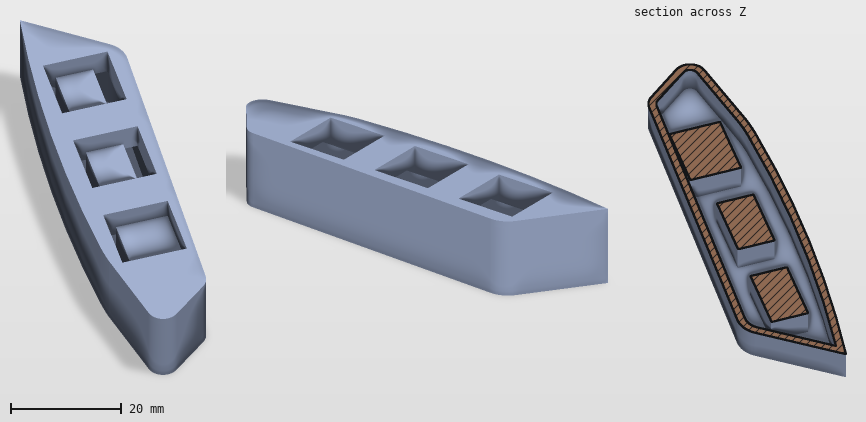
import cadquery as cq
import math

TOTAL_HEIGHT = 15.0
LID_PLATE = 1.3
PLUG_BOTTOM_DEPTH = 5.25
FLOOR_THICKNESS = 1.15
WALL = 1.5
SEAM_Z = TOTAL_HEIGHT - LID_PLATE

TIP = (0, 60.25)
BACK_CORNER = (20.0, 60.25)
SIDE_CORNER = (53.8, 11.55)
END_CORNER = (49.95, -2.35)
BOW_END = (32.7, 12.85)
BLEND_END = (35.25, 10.25)
BOW_SAGITTA = 1.7
BACK_CORNER_RADIUS = 5.0
END_CORNER_RADIUS = 3

WINDOW_SIZE = 12.2
WINDOW_PITCH = 19.1
WINDOW_COUNT = 3
ROW_ANGLE = -53.5
FIRST_WINDOW = (16.25, 49.9)

PEDESTAL_DEPTH = 4.0
BOWED_SIDE_GAP = 2.4
STRAIGHT_SIDE_GAP = 2.7


def bow_middle():
    """Point of the bowed side farthest from its chord."""
    chord_x = BOW_END[0] - TIP[0]
    chord_y = BOW_END[1] - TIP[1]
    chord = math.hypot(chord_x, chord_y)
    return (
        (TIP[0] + BOW_END[0]) / 2 + BOW_SAGITTA * chord_y / chord,
        (TIP[1] + BOW_END[1]) / 2 - BOW_SAGITTA * chord_x / chord,
    )


def outline_prism(height):
    """Full outline, with its three rounded corners, extruded up from z = 0."""
    prism = (
        cq.Workplane("XY")
        .moveTo(*TIP)
        .threePointArc(bow_middle(), BOW_END)
        .tangentArcPoint(BLEND_END, relative=False)
        .lineTo(*END_CORNER)
        .lineTo(*SIDE_CORNER)
        .lineTo(*BACK_CORNER)
        .close()
        .extrude(height)
    )
    for corner in (END_CORNER, SIDE_CORNER):
        prism = prism.edges(cq.NearestToPointSelector((*corner, height / 2))).fillet(END_CORNER_RADIUS)
    back_edge = cq.NearestToPointSelector((*BACK_CORNER, height / 2))
    return prism.edges(back_edge).fillet(BACK_CORNER_RADIUS)


def inner_prism(bottom, top):
    """Outline inset by the wall thickness, between two heights."""
    base_wire = outline_prism(TOTAL_HEIGHT).faces("<Z").wires().val()
    inset = base_wire.offset2D(-WALL, "intersection")
    return cq.Workplane("XY").add(inset).toPending().extrude(top - bottom).translate((0, 0, bottom))


def row_block(index, near_gap, far_gap, bottom, top):
    """Block at one window, set back from its bowed side and its straight side by the two gaps."""
    width = WINDOW_SIZE - near_gap - far_gap
    along = index * WINDOW_PITCH
    across = (near_gap - far_gap) / 2
    return (
        cq.Workplane("XY")
        .center(along, across)
        .rect(WINDOW_SIZE, width)
        .extrude(top - bottom)
        .rotate((0, 0, 0), (0, 0, 1), ROW_ANGLE)
        .translate((*FIRST_WINDOW, bottom))
    )


def make_housing():
    """Open tray with one pedestal under each window."""
    housing = outline_prism(SEAM_Z).cut(inner_prism(FLOOR_THICKNESS, SEAM_Z))
    for index in range(WINDOW_COUNT):
        is_last = index == WINDOW_COUNT - 1
        far_gap = 0 if is_last else STRAIGHT_SIDE_GAP
        pedestal_top = TOTAL_HEIGHT - PEDESTAL_DEPTH
        housing = housing.union(row_block(index, BOWED_SIDE_GAP, far_gap, 0, pedestal_top))
    return housing


def make_lid():
    """Cover plate with a plug that fills the top of the tray, pierced by the windows."""
    plate = outline_prism(LID_PLATE).translate((0, 0, SEAM_Z))
    plug_bottom = TOTAL_HEIGHT - PLUG_BOTTOM_DEPTH
    lid = plate.union(inner_prism(plug_bottom, SEAM_Z))
    for index in range(WINDOW_COUNT):
        lid = lid.cut(row_block(index, 0, 0, plug_bottom, TOTAL_HEIGHT))
    return lid


housing = make_housing()
lid = make_lid()
result = cq.Compound.makeCompound([housing.solids().val(), lid.solids().val()])